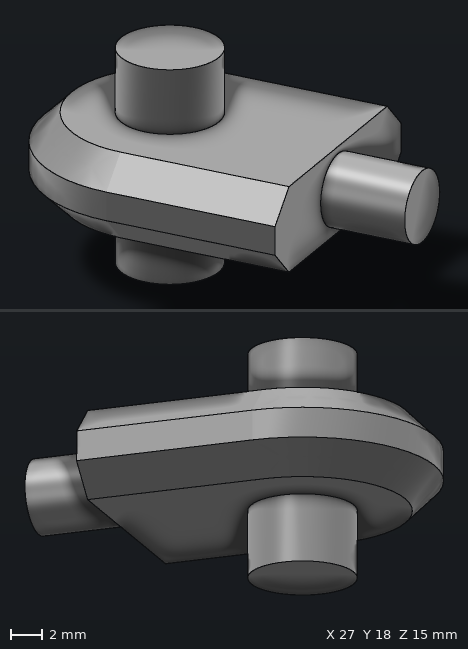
import cadquery as cq

total_length = 27.0
body_width = 18.0
body_length = 21.0
body_thickness = 6.0
body_chamfer = 2.0
pin_diameter = 7.0
pin_height = 15.0
rod_diameter = 5.0

nose_radius = body_width / 2
flat_end_x = body_length - nose_radius
rod_length = total_length - body_length


def make_body():
    """Plate with a round nose, chamfered above and below except at its flat end."""
    plate = (
        cq.Workplane("XY")
        .workplane(offset=-body_thickness / 2)
        .moveTo(flat_end_x, -nose_radius)
        .lineTo(0, -nose_radius)
        .threePointArc((-nose_radius, 0), (0, nose_radius))
        .lineTo(flat_end_x, nose_radius)
        .close()
        .extrude(body_thickness)
    )
    return plate.faces("|Z").edges("not(|Y)").chamfer(body_chamfer)


def make_pin():
    """Upright pin protruding equally from both faces of the body."""
    return cq.Workplane("XY").circle(pin_diameter / 2).extrude(pin_height / 2, both=True)


def make_rod():
    """Round rod leaving the centre of the flat end along X."""
    return (
        cq.Workplane("YZ")
        .workplane(offset=flat_end_x)
        .circle(rod_diameter / 2)
        .extrude(rod_length)
    )


result = make_body().union(make_pin()).union(make_rod())